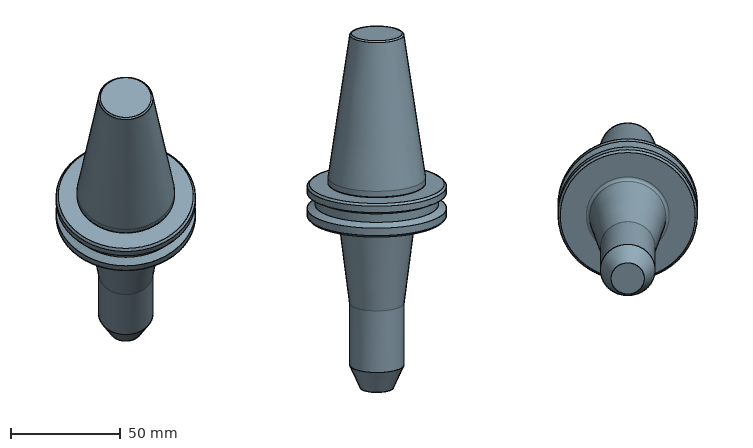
import cadquery as cq

total_height = 168.4
gauge_z = 100.0
flange_top_z = 96.8
flange_bottom_z = 80.8
neck_top_z = 40.2
nose_cone_z = 11.0

flange_radius = 63.5 / 2
groove_radius = 28.1
gauge_radius = 22.2
nose_radius = 12.5
tip_radius = 7.5
neck_base_radius = 17.3

taper_slope = 7 / 24 / 2
taper_top_radius = gauge_radius - (total_height - gauge_z) * taper_slope
top_chamfer = 0.7

flange_chamfer = 1.0
groove_floor_bottom_z = 87.0
groove_floor_top_z = 91.1
groove_flank_height = 1.7
undercut_height = 0.5
undercut_depth = 0.7
neck_fillet = 1.5


def turned_body():
    """Revolve the half profile of the holder about the Z axis."""
    neck_base_z = flange_bottom_z - neck_fillet
    undercut_z = flange_top_z + undercut_height
    undercut_radius = gauge_radius - undercut_depth
    flange_face_radius = flange_radius - flange_chamfer
    profile = (
        cq.Workplane("XZ")
        .lineTo(tip_radius, 0)
        .lineTo(nose_radius, nose_cone_z)
        .lineTo(nose_radius, neck_top_z)
        .lineTo(neck_base_radius, neck_base_z)
        .radiusArc((neck_base_radius + neck_fillet, flange_bottom_z), neck_fillet)
        .lineTo(flange_face_radius, flange_bottom_z)
        .lineTo(flange_radius, flange_bottom_z + flange_chamfer)
        .lineTo(flange_radius, groove_floor_bottom_z - groove_flank_height)
        .lineTo(groove_radius, groove_floor_bottom_z)
        .lineTo(groove_radius, groove_floor_top_z)
        .lineTo(flange_radius, groove_floor_top_z + groove_flank_height)
        .lineTo(flange_radius, flange_top_z - flange_chamfer)
        .lineTo(flange_face_radius, flange_top_z)
        .lineTo(undercut_radius, flange_top_z)
        .lineTo(gauge_radius, undercut_z)
        .lineTo(gauge_radius, gauge_z)
        .lineTo(taper_top_radius + top_chamfer * taper_slope, total_height - top_chamfer)
        .lineTo(taper_top_radius - top_chamfer, total_height)
        .lineTo(0, total_height)
        .close()
    )
    return profile.revolve(360, (0, 0, 0), (0, 1, 0))


result = turned_body()